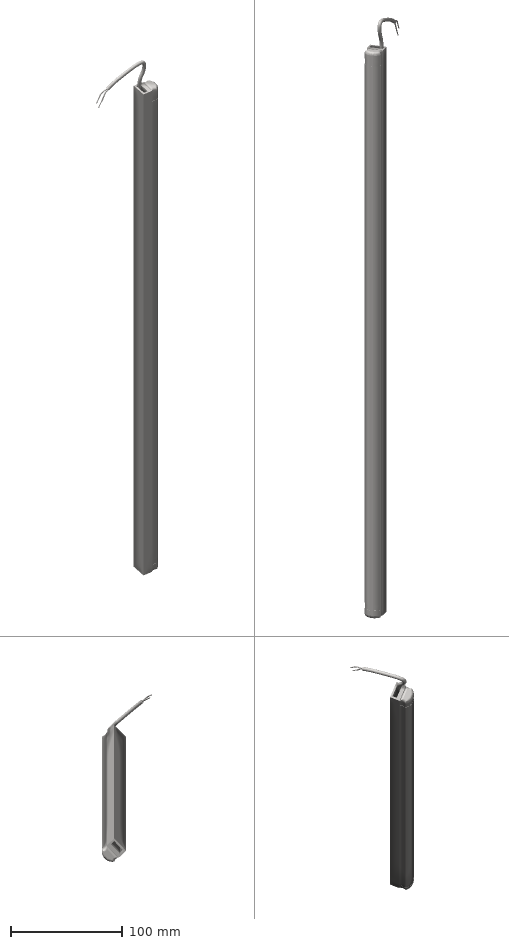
import cadquery as cq
import math


WIDTH = 15.5
LENGTH = 549.0
CAP_OVERHANG = 0.5
HOUSING_LENGTH = LENGTH - 2 * CAP_OVERHANG
WALL = 2.0
DUCT_DEPTH = 4.0
WEB = 2.0
HOUSING_DEPTH = 9.0
DUCT_TOP = WALL + DUCT_DEPTH
SEAT = DUCT_TOP + WEB
INNER_WIDTH = WIDTH - 2 * WALL

DOME_TOP = 19.0
DOME_EDGE = 15.0
DOME_FLAT = 3.5
SHOULDER_X = 6.0
SHOULDER_Y = 17.5
LAMP_HALF_WIDTH = WIDTH / 2
FLANK_HOLLOW = 0.5

CAP_HEAD = 8.0
CAP_LENGTH = 13.0
ROUND_HEIGHT = 3.0
ROUND_INSET = 2.5
ROUND_STEPS = 3
COLLAR_STEP = 0.1

CABLE_DIAMETER = 3.5
CABLE_X = -4.3
CABLE_Y = WALL + DUCT_DEPTH / 2
CABLE_INSERTION = 6.0
CABLE_APEX_Y = 5.0
CABLE_APEX_Z = 576.5 - CABLE_DIAMETER / 2
CABLE_RISE_POINT = (8.5, 566.0)
CABLE_FALL_POINTS = [(-2.0, 573.5), (-10.5, 570.5), (-25.5, 564.0)]
CABLE_END = (-31.0, 561.0)
CABLE_END_DIRECTION = (-0.85, -0.53)
WIRE_DIAMETER = 1.2
CORE_DIAMETER = 0.9
WIRE_OFFSET = 0.8
UPPER_WIRE_POINTS = [(-37.0, 559.5), (-40.0, 556.0)]
UPPER_CORE_TIP = (-43.0, 550.0)
LOWER_WIRE_POINTS = [(-34.5, 555.5), (-37.5, 550.0)]
LOWER_CORE_TIP = (-41.0, 544.0)


def make_housing():
    """Full-length channel with a seat for the lamp and a through duct for the cable."""
    block = cq.Workplane("XY").rect(WIDTH, HOUSING_DEPTH).extrude(HOUSING_LENGTH)
    block = block.translate((0, HOUSING_DEPTH / 2, CAP_OVERHANG))
    duct = cq.Workplane("XY").rect(INNER_WIDTH, DUCT_DEPTH).extrude(LENGTH)
    duct = duct.translate((0, WALL + DUCT_DEPTH / 2, 0))
    return block.cut(duct).cut(make_tongue(0, LENGTH))


def make_tongue(z_start, length):
    """Flat strip that fills the seat between the housing walls."""
    depth = HOUSING_DEPTH - SEAT
    tongue = cq.Workplane("XY").rect(INNER_WIDTH, depth).extrude(length)
    return tongue.translate((0, SEAT + depth / 2, z_start))


def lamp_outline(z, inset=0, bottom=HOUSING_DEPTH):
    """Closed lamp section at a height, with an optional inset of its dome and flanks."""
    half_width = LAMP_HALF_WIDTH - inset
    top = DOME_TOP - inset
    shoulder_x = SHOULDER_X - inset * math.sqrt(0.5)
    shoulder_y = SHOULDER_Y - inset * math.sqrt(0.5)
    flank_x = half_width - FLANK_HOLLOW
    flank_y = (DOME_EDGE + bottom) / 2
    return (
        cq.Workplane("XY", origin=(0, 0, z))
        .moveTo(-half_width, bottom)
        .lineTo(half_width, bottom)
        .threePointArc((flank_x, flank_y), (half_width, DOME_EDGE))
        .threePointArc((shoulder_x, shoulder_y), (DOME_FLAT / 2, top))
        .lineTo(-DOME_FLAT / 2, top)
        .threePointArc((-shoulder_x, shoulder_y), (-half_width, DOME_EDGE))
        .threePointArc((-flank_x, flank_y), (-half_width, bottom))
        .close()
    )


def make_lamp():
    """Lit bar between the two end caps."""
    length = LENGTH - 2 * CAP_LENGTH
    return lamp_outline(CAP_LENGTH).extrude(length).union(make_tongue(CAP_LENGTH, length))


def make_lower_cap():
    """End cap with a rounded outer end and a slightly smaller collar toward the lamp."""
    sections = []
    for step in range(ROUND_STEPS + 1):
        angle = math.pi / 2 * step / ROUND_STEPS
        inset = ROUND_INSET * (1 - math.sin(angle))
        z = ROUND_HEIGHT * (1 - math.cos(angle))
        sections.append(lamp_outline(z, inset, HOUSING_DEPTH + inset).wire().val())
    rounded_end = cq.Workplane(cq.Solid.makeLoft(sections))
    head = lamp_outline(ROUND_HEIGHT).extrude(CAP_HEAD - ROUND_HEIGHT)
    collar = lamp_outline(CAP_HEAD, COLLAR_STEP).extrude(CAP_LENGTH - CAP_HEAD)
    tongue = make_tongue(CAP_OVERHANG, CAP_LENGTH - CAP_OVERHANG)
    return rounded_end.union(head).union(collar).union(tongue)


def make_upper_cap():
    """Mirror image of the lower cap at the other end of the lamp."""
    return make_lower_cap().mirror("XY").translate((0, 0, LENGTH))


def in_cable_plane(point):
    """Place a (Y, Z) point in the plane of the cable."""
    return cq.Vector(CABLE_X, *point)


def sweep_round(diameter, path):
    """Sweep a disc of the given diameter along joined edges, square to its start."""
    wire = cq.Wire.assembleEdges(path)
    plane = cq.Plane(origin=wire.startPoint(), xDir=(1, 0, 0), normal=path[0].tangentAt(0))
    return cq.Workplane(plane).circle(diameter / 2).sweep(cq.Workplane(wire))


def make_cable():
    """Cable that leaves the duct, leans back, turns over and hangs forward."""
    mouth = in_cable_plane((CABLE_Y, LENGTH))
    apex = in_cable_plane((CABLE_APEX_Y, CABLE_APEX_Z))
    up = cq.Vector(0, 0, 1)
    forward = cq.Vector(0, -1, 0)
    inside = cq.Edge.makeLine(mouth - up * CABLE_INSERTION, mouth)
    rise = cq.Edge.makeSpline([mouth, in_cable_plane(CABLE_RISE_POINT), apex], tangents=[up, forward])
    fall_points = [apex, *map(in_cable_plane, CABLE_FALL_POINTS), in_cable_plane(CABLE_END)]
    end_direction = cq.Vector(0, *CABLE_END_DIRECTION)
    fall = cq.Edge.makeSpline(fall_points, tangents=[forward, end_direction])
    return sweep_round(CABLE_DIAMETER, [inside, rise, fall])


def make_wire(side, points, tip):
    """Wire starting on the cable's end face, with a thinner bare core at its tip."""
    along_y, along_z = CABLE_END_DIRECTION
    size = math.hypot(along_y, along_z)
    offset = side * WIRE_OFFSET / size
    start = in_cable_plane((CABLE_END[0] + offset * along_z, CABLE_END[1] - offset * along_y))
    core_start = in_cable_plane(points[-1])
    core_end = in_cable_plane(tip)
    core_direction = (core_end - core_start).normalized()
    bend = cq.Edge.makeSpline(
        [start, *map(in_cable_plane, points)],
        tangents=[cq.Vector(0, along_y, along_z), core_direction],
    )
    core = cq.Edge.makeLine(core_start, core_end)
    return sweep_round(WIRE_DIAMETER, [bend]).union(sweep_round(CORE_DIAMETER, [core]))


housing = make_housing()
lamp = make_lamp()
end_caps = [make_lower_cap(), make_upper_cap()]
cable = make_cable()
wires = [
    make_wire(1, UPPER_WIRE_POINTS, UPPER_CORE_TIP),
    make_wire(-1, LOWER_WIRE_POINTS, LOWER_CORE_TIP),
]

result = cq.Compound.makeCompound(
    [
        housing.val(),
        lamp.val(),
        *[cap.val() for cap in end_caps],
        cable.val(),
        *[wire.val() for wire in wires],
    ]
)